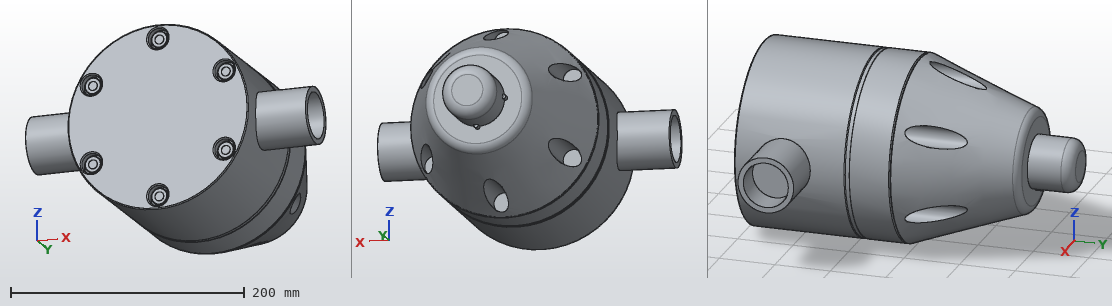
import cadquery as cq
import math

BODY_RADIUS = 165.0 / 2
BASE_LENGTH = 100.0
EDGE_CHAMFER = 1.0
GROOVE_RADIUS = 82.0
GROOVE_END = 103.7
FLANGE_END = 140.2
CONE_START = 140.8
CONE_END = 244.8
CONE_TAPER = 20
CONE_FILLET = 8.5

KNOB_RADIUS = 23.7
KNOB_FILLET = 10.0
OVERALL_LENGTH = 285.0

PIN_RADIUS = 2.0
PIN_OFFSET = 24.2
PIN_LENGTH = 7.0

SCREW_COUNT = 6
SCREW_CIRCLE_RADIUS = 70.0
FIRST_SCREW_ANGLE = 90

RECESS_RADIUS = 9.0
RECESS_DEPTH = 7.0
RECESS_CHAMFER = 1.0
HEAD_RADIUS = 7.5
HEAD_FACE_DEPTH = 3.5
HEAD_CHAMFER = 0.5
SOCKET_RADIUS = 4.0
SOCKET_DEPTH = 0.5

CONE_HOLE_RADIUS = 18.5 / 2

PIPE_SPAN = 256.0
PIPE_RADIUS = 25.0
PIPE_BORE_RADIUS = 20.2
PIPE_BORE_DEPTH = 25.0
PIPE_Y = 43.5


def cylinder_along_y(x, z, radius, start, end):
    """Solid cylinder parallel to Y between two y positions."""
    cylinder = cq.Solid.makeCylinder(radius, end - start, cq.Vector(x, start, z), cq.Vector(0, 1, 0))
    return cq.Workplane(cylinder)


def screw_positions():
    """(x, z) centres of the screws, evenly spaced about the Y axis."""
    positions = []
    for i in range(SCREW_COUNT):
        angle = math.radians(FIRST_SCREW_ANGLE + i * 360 / SCREW_COUNT)
        positions.append((SCREW_CIRCLE_RADIUS * math.cos(angle), SCREW_CIRCLE_RADIUS * math.sin(angle)))
    return positions


def make_body():
    """Base, groove, flange and cone revolved in one piece."""
    cone_end_radius = BODY_RADIUS - (CONE_END - CONE_START) * math.tan(math.radians(CONE_TAPER))
    profile = (
        cq.Workplane("XY")
        .moveTo(0, 0)
        .lineTo(BODY_RADIUS - EDGE_CHAMFER, 0)
        .lineTo(BODY_RADIUS, EDGE_CHAMFER)
        .lineTo(BODY_RADIUS, BASE_LENGTH - EDGE_CHAMFER)
        .lineTo(GROOVE_RADIUS, BASE_LENGTH)
        .lineTo(GROOVE_RADIUS, GROOVE_END)
        .lineTo(BODY_RADIUS, GROOVE_END)
        .lineTo(BODY_RADIUS, FLANGE_END - EDGE_CHAMFER)
        .lineTo(BODY_RADIUS - EDGE_CHAMFER, FLANGE_END)
        .lineTo(BODY_RADIUS - EDGE_CHAMFER, CONE_START)
        .lineTo(BODY_RADIUS, CONE_START)
        .lineTo(cone_end_radius, CONE_END)
        .lineTo(0, CONE_END)
        .close()
    )
    body = profile.revolve(360, (0, 0, 0), (0, 1, 0))
    return body.faces(">Y").edges().fillet(CONE_FILLET)


def make_knob():
    """Round-ended knob with two pins part sunk into its side."""
    knob = cylinder_along_y(0, 0, KNOB_RADIUS, CONE_START, OVERALL_LENGTH)
    knob = knob.faces(">Y").edges().fillet(KNOB_FILLET)
    for x, z in [(-PIN_OFFSET, 0), (0, -PIN_OFFSET)]:
        knob = knob.union(cylinder_along_y(x, z, PIN_RADIUS, CONE_START, CONE_END + PIN_LENGTH))
    return knob


def make_recess(x, z):
    """Material removed around one front screw; its head is left standing."""
    bore = cylinder_along_y(x, z, RECESS_RADIUS, 0, RECESS_DEPTH)
    mouth = cq.Solid.makeCone(
        RECESS_RADIUS + RECESS_CHAMFER, RECESS_RADIUS, RECESS_CHAMFER, cq.Vector(x, 0, z), cq.Vector(0, 1, 0)
    )
    head = cylinder_along_y(x, z, HEAD_RADIUS, HEAD_FACE_DEPTH, RECESS_DEPTH)
    head = head.faces("<Y").chamfer(HEAD_CHAMFER)
    socket = cylinder_along_y(x, z, SOCKET_RADIUS, HEAD_FACE_DEPTH, HEAD_FACE_DEPTH + SOCKET_DEPTH)
    return bore.union(cq.Workplane(mouth)).cut(head).union(socket)


def pipe_cylinder(radius, length, side):
    """Cylinder running inward from the outer end of one pipe; side is -1 or +1 along X."""
    end = cq.Vector(side * PIPE_SPAN / 2, PIPE_Y, 0)
    return cq.Workplane(cq.Solid.makeCylinder(radius, length, end, cq.Vector(-side, 0, 0)))


result = make_body().union(make_knob())
for side in (-1, 1):
    result = result.union(pipe_cylinder(PIPE_RADIUS, PIPE_SPAN / 2, side))
for side in (-1, 1):
    result = result.cut(pipe_cylinder(PIPE_BORE_RADIUS, PIPE_BORE_DEPTH, side))
for x, z in screw_positions():
    result = result.cut(make_recess(x, z))
    result = result.cut(cylinder_along_y(x, z, CONE_HOLE_RADIUS, CONE_START, CONE_END))